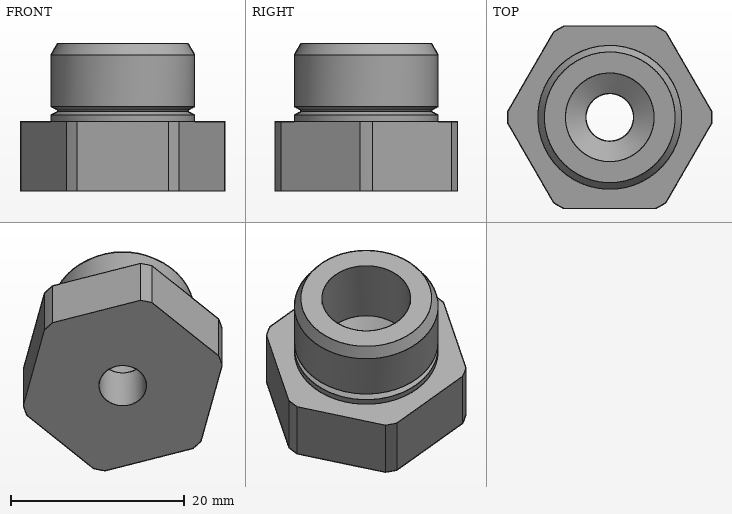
import cadquery as cq
import math

across_corners = 23.5
across_flats = 21.0
base_height = 8.0

total_height = 17.0
neck_radius = 16.55 / 2
top_chamfer_depth = 0.75
top_chamfer_height = top_chamfer_depth * math.tan(math.radians(60))

groove_bottom = 8.77
groove_width = 0.96
groove_depth = 0.73
groove_side_height = 0.38

bore_radius = 10.2 / 2
bore_depth = 8.45
hole_radius = 5.45 / 2
cone_half_angle = 59.0


def make_base():
    """Hexagonal prism whose corners are turned down to a cylinder."""
    hexagon_diameter = across_flats / math.cos(math.radians(30))
    hexagon = cq.Workplane("XY").polygon(6, hexagon_diameter).extrude(base_height)
    turned = cq.Workplane("XY").circle(across_corners / 2).extrude(base_height)
    return hexagon.intersect(turned)


def make_neck():
    """Revolved neck with a groove near the base and a chamfered top edge."""
    groove_radius = neck_radius - groove_depth
    groove_top = groove_bottom + groove_width
    profile = [
        (0, 0),
        (neck_radius, 0),
        (neck_radius, groove_bottom),
        (groove_radius, groove_bottom + groove_side_height),
        (groove_radius, groove_top - groove_side_height),
        (neck_radius, groove_top),
        (neck_radius, total_height - top_chamfer_height),
        (neck_radius - top_chamfer_depth, total_height),
        (0, total_height),
    ]
    return cq.Workplane("XZ").polyline(profile).close().revolve(360, (0, 0), (0, 1))


def make_bore():
    """Revolved cutter for the bore, its conical bottom and the through hole."""
    bore_bottom = total_height - bore_depth
    cone_height = (bore_radius - hole_radius) / math.tan(math.radians(cone_half_angle))
    profile = [
        (0, 0),
        (hole_radius, 0),
        (hole_radius, bore_bottom - cone_height),
        (bore_radius, bore_bottom),
        (bore_radius, total_height),
        (0, total_height),
    ]
    return cq.Workplane("XZ").polyline(profile).close().revolve(360, (0, 0), (0, 1))


result = make_base().union(make_neck()).cut(make_bore())